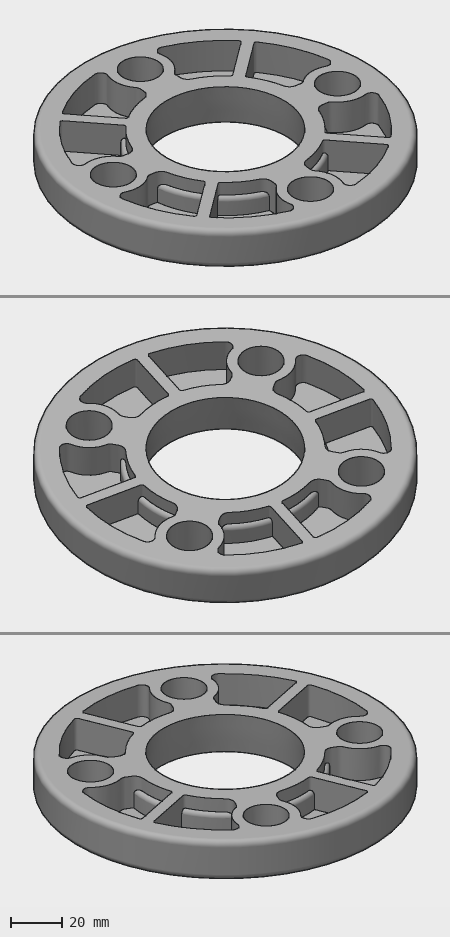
import cadquery as cq
import math

disc_diameter = 149.7
disc_thickness = 17.2
rim_fillet = 2.5

bore_top_diameter = 62.0
bore_bottom_diameter = 64.7

hole_count = 4
hole_diameter = 18.0
hole_circle_radius = 55.0
boss_radius = 13.5

pocket_outer_radius = 64.8
pocket_inner_radius = 38.9
floor_thickness = 3.1
spoke_width = 17.4
rib_width = 5.1
boss_tip_radius = 3.0
boss_foot_radius = 3.0
inner_corner_radius = 4.0
rib_corner_radius = 1.0

ledge_top = 11.4
ledge_width = 2.02

pad_length = 25.7
pad_width = 8.4
pad_height = 0.3
pad_circle_radius = 58.1

quarter_turn = 360.0 / hole_count
pocket_depth = disc_thickness - floor_thickness


def circle_height(radius, x):
    """Height above the centre at which a circle reaches the given x."""
    return math.sqrt(radius**2 - x**2)


def polar_point(radius, angle):
    return radius * math.cos(angle), radius * math.sin(angle)


def rib_point(radius):
    """Where the rib side nearer +Y crosses a circle about the Z axis."""
    return polar_point(radius, math.pi / 4 + math.asin(rib_width / 2 / radius))


def arc_middle(radius, start, end):
    """Middle of the arc about the Z axis between two points."""
    angle = (math.atan2(start[1], start[0]) + math.atan2(end[1], end[0])) / 2
    return polar_point(radius, angle)


def make_disc():
    disc = cq.Workplane("XY").circle(disc_diameter / 2).extrude(disc_thickness)
    return disc.edges().fillet(rim_fillet)


def make_ledge():
    """A round plug whose outer edge stands in the pocket as the ledge."""
    plug = cq.Workplane("XY").circle(pocket_inner_radius + ledge_width).extrude(ledge_top)
    return plug.edges(">Z").fillet(ledge_width)


def make_pocket():
    """The pocket between the boss on +Y and the rib on the +X +Y diagonal."""
    side_x = spoke_width / 2
    inner_corner = (side_x, circle_height(pocket_inner_radius, side_x))
    boss_foot = (side_x, hole_circle_radius - circle_height(boss_radius, side_x))
    boss_middle = (boss_radius, hole_circle_radius)
    boss_tip_y = (pocket_outer_radius**2 + hole_circle_radius**2 - boss_radius**2) / (2 * hole_circle_radius)
    boss_tip = (circle_height(pocket_outer_radius, boss_tip_y), boss_tip_y)
    outer_rib = rib_point(pocket_outer_radius)
    inner_rib = rib_point(pocket_inner_radius)

    pocket = (
        cq.Workplane("XY")
        .workplane(offset=floor_thickness)
        .moveTo(*inner_corner)
        .lineTo(*boss_foot)
        .threePointArc(boss_middle, boss_tip)
        .threePointArc(arc_middle(pocket_outer_radius, boss_tip, outer_rib), outer_rib)
        .lineTo(*inner_rib)
        .threePointArc(arc_middle(pocket_inner_radius, inner_rib, inner_corner), inner_corner)
        .close()
        .extrude(pocket_depth)
    )
    corner_radii = [
        (inner_corner, inner_corner_radius),
        (boss_foot, boss_foot_radius),
        (boss_tip, boss_tip_radius),
        (outer_rib, rib_corner_radius),
        (inner_rib, rib_corner_radius),
    ]
    for (x, y), radius in corner_radii:
        corner = cq.selectors.NearestToPointSelector((x, y, floor_thickness + pocket_depth / 2))
        pocket = pocket.edges("|Z").edges(corner).fillet(radius)
    return pocket.cut(make_ledge())


def make_pads():
    pads = cq.Workplane("XY").polarArray(pad_circle_radius, quarter_turn / 2, 360, hole_count)
    return pads.rect(pad_width, pad_length).extrude(-pad_height)


def make_bore():
    return (
        cq.Workplane("XY")
        .circle(bore_bottom_diameter / 2)
        .workplane(offset=disc_thickness)
        .circle(bore_top_diameter / 2)
        .loft(ruled=True)
    )


def make_bolt_holes():
    centres = cq.Workplane("XY").polarArray(hole_circle_radius, 0, 360, hole_count)
    return centres.circle(hole_diameter / 2).extrude(disc_thickness)


result = make_disc().union(make_pads())

pocket_beside_y = make_pocket()
pocket_beside_x = pocket_beside_y.mirror("YZ").rotate((0, 0, 0), (0, 0, 1), -quarter_turn)
for quarter in range(hole_count):
    for pocket in (pocket_beside_y, pocket_beside_x):
        result = result.cut(pocket.rotate((0, 0, 0), (0, 0, 1), quarter * quarter_turn))

result = result.cut(make_bore()).cut(make_bolt_holes())